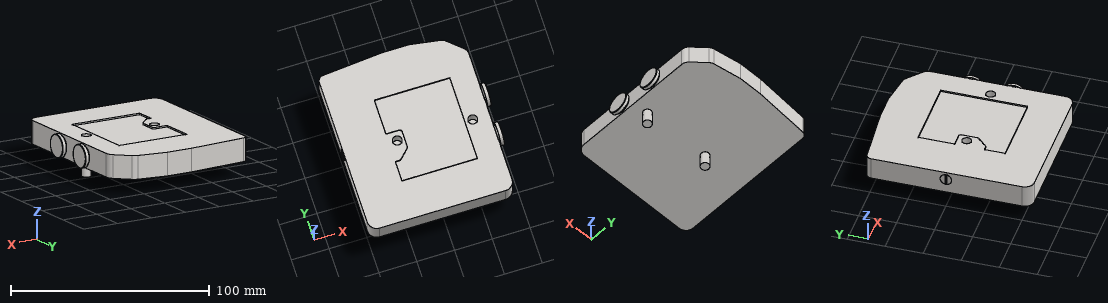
import cadquery as cq

plate_width = 76.7
plate_length = 90.1
plate_thickness = 12.5
corner_radius = 5.05
rear_left_corner_radius = 3.0
left_side_length = 87.2
crest_start_x = 35.0
crest_end_x = 49.2
rear_bevel_x = 66.6
rear_bevel_y = 87.3
right_side_length = 78.2

pocket_left = 23.5
pocket_right = 63.4
pocket_front = 21.0
pocket_rear = 66.8
pocket_depth = 0.8
tongue_right = 31.7
tongue_front = 31.9
tongue_rear = 47.6
tongue_bevel = 5.5
tongue_corner_radius = 1.35

pin_diameter = 5.0
pin_length = 8.9
pin_centers = [(27.8, 42.4), (67.6, 41.7)]
pin_hole_depth = plate_thickness / 2

knob_diameter = 12.3
knob_neck_diameter = 10.1
knob_neck_length = 1.0
knob_overhang = 3.1
knob_rim_chamfer = 0.3
knob_z = 6.3
knob_y_positions = [32.6, 54.8]

screw_diameter = 6.0
screw_y = 45.1
screw_z = 8.0
screw_recess = 0.1
screw_slot_width = 0.8
screw_slot_depth = 0.9


def make_plate():
    outline = [
        (0, 0),
        (plate_width, 0),
        (plate_width, right_side_length),
        (rear_bevel_x, rear_bevel_y),
        (crest_end_x, plate_length),
        (crest_start_x, plate_length),
        (0, left_side_length),
    ]
    plate = cq.Workplane("XY").polyline(outline).close().extrude(plate_thickness)
    large_corners = [
        (0, 0),
        (plate_width, 0),
        (plate_width, right_side_length),
        (rear_bevel_x, rear_bevel_y),
    ]
    plate = round_corners(plate, large_corners, corner_radius)
    return round_corners(plate, [(0, left_side_length)], rear_left_corner_radius)


def round_corners(body, corners, radius):
    """Round the upright edge nearest to each (x, y) corner."""
    for x, y in corners:
        nearest_edge = cq.selectors.NearestToPointSelector((x, y, plate_thickness / 2))
        body = body.edges("|Z").edges(nearest_edge).fillet(radius)
    return body


def make_pocket():
    floor = cq.Workplane("XY", origin=(0, 0, plate_thickness - pocket_depth))
    pocket_outline = [
        (pocket_left, pocket_front),
        (pocket_right, pocket_front),
        (pocket_right, pocket_rear),
        (pocket_left, pocket_rear),
        (pocket_left, tongue_rear),
        (tongue_right, tongue_rear),
        (tongue_right, tongue_front + tongue_bevel),
        (tongue_right - tongue_bevel, tongue_front),
        (pocket_left, tongue_front),
    ]
    pocket = floor.polyline(pocket_outline).close().extrude(pocket_depth)
    tongue_corners = [
        (tongue_right, tongue_rear),
        (tongue_right, tongue_front + tongue_bevel),
    ]
    return round_corners(pocket, tongue_corners, tongue_corner_radius)


def make_pins():
    return cq.Workplane("XY").pushPoints(pin_centers).circle(pin_diameter / 2).extrude(-pin_length)


def make_pin_holes():
    top = cq.Workplane("XY", origin=(0, 0, plate_thickness))
    return top.pushPoints(pin_centers).circle(pin_diameter / 2).extrude(-pin_hole_depth)


def make_knob(y):
    side = cq.Workplane("YZ", origin=(plate_width, y, knob_z))
    neck = side.circle(knob_neck_diameter / 2).extrude(knob_neck_length)
    head = (
        side.workplane(offset=knob_neck_length)
        .circle(knob_diameter / 2)
        .extrude(knob_overhang - knob_neck_length)
        .faces(">X")
        .chamfer(knob_rim_chamfer)
    )
    return neck.union(head)


def make_screw_cut():
    """Shallow round recess over the screw head, with the driver slot below it."""
    side = cq.Workplane("YZ", origin=(0, screw_y, screw_z))
    recess = side.circle(screw_diameter / 2).extrude(screw_recess)
    slot = side.rect(screw_slot_width, screw_diameter).extrude(screw_slot_depth)
    slot_limit = side.circle(screw_diameter / 2).extrude(screw_slot_depth)
    return recess.union(slot.intersect(slot_limit))


result = make_plate().union(make_pins())
for knob_y in knob_y_positions:
    result = result.union(make_knob(knob_y))
result = result.cut(make_pocket()).cut(make_pin_holes()).cut(make_screw_cut())